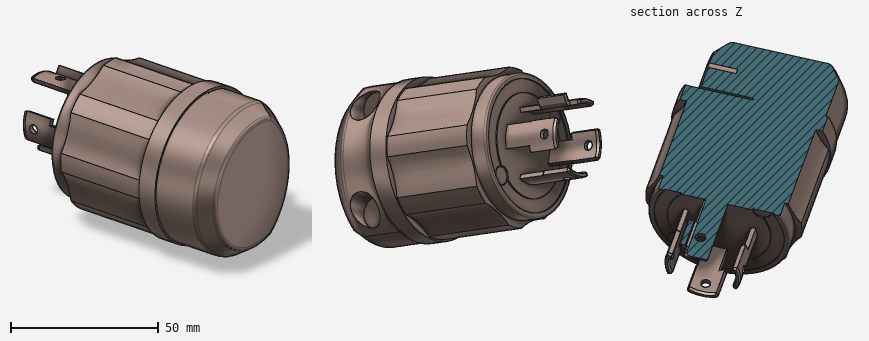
import cadquery as cq
import math


total_length = 94.08
collar_diameter = 56.52
ground_blade_length = 25.26
rear_x = total_length - ground_blade_length

ring_radius = 49.99 / 2
ring_edge_fillet = 0.55
ring_length = 5.95
groove_inner_radius = 18.25
groove_outer_radius = 23.06
groove_depth = 0.5

screw_hole_diameter = 6.6
screw_head_diameter = 6.35
screw_hole_depth = 1.0
screw_head_recess = 0.5
screw_circle_radius = 19.8
screw_angle = 140.0

grip_radius = 27.62
flute_count = 8
flute_pitch = 360.0 / flute_count
land_half_angle = 7.4
flute_floor_radius = 25.75
collar_start_x = 39.66
collar_end_x = 46.46

clamp_top_y = 22.5
clamp_crease_angle = 20.9
clamp_gap = 0.55
clamp_split_y = 1.35
rear_taper_length = 6.0
rear_taper_depth = 4.15
taper_start_fillet = 2.4
taper_end_fillet = 1.8
clamp_screw_hole_diameter = 11.3
clamp_screw_x = 56.9
clamp_screw_z = 18.1
clamp_screw_floor_y = 10.0

blade_outer_radius = 13.4
blade_thickness = 1.73
blade_length = 21.0
blade_half_angle = 24.1
blade_hole_diameter = 3.3
blade_hole_x = -16.36
tip_length = 1.0
tip_inset = 0.4

root_length = 9.8
root_notch_angle = 13.8
root_plain_angle = 23.2

ground_edge_angle = 23.2
ground_free_angle = 14.2
ground_hole_y = 1.84
flange_bend_angle = 25.0
flange_tilt = 60.0
flange_height = 2.9


def polar(radius, angle):
    """Point on a circle about the X axis; angle runs from +Y towards +Z."""
    turn = math.radians(angle)
    return (radius * math.cos(turn), radius * math.sin(turn))


def section_at(x):
    """Workplane across the plug axis: local axes are Y and Z."""
    return cq.Workplane("YZ", origin=(x, 0, 0))


def disc(radius, start_x, end_x):
    return section_at(start_x).circle(radius).extrude(end_x - start_x)


def arc_strip(x, inner_radius, outer_radius, start_angle, end_angle):
    """Closed outline of a curved strip about the X axis."""
    middle_angle = (start_angle + end_angle) / 2
    return (
        section_at(x)
        .moveTo(*polar(outer_radius, start_angle))
        .threePointArc(polar(outer_radius, middle_angle), polar(outer_radius, end_angle))
        .lineTo(*polar(inner_radius, end_angle))
        .threePointArc(polar(inner_radius, middle_angle), polar(inner_radius, start_angle))
        .close()
    )


def make_front_ring():
    ring = disc(ring_radius, 0, ring_length).faces("<X").edges().fillet(ring_edge_fillet)
    groove = disc(groove_outer_radius, 0, groove_depth).cut(disc(groove_inner_radius, 0, groove_depth))
    ring = ring.cut(groove)
    for angle in (screw_angle, screw_angle + 180):
        y, z = polar(screw_circle_radius, angle)
        hole = disc(screw_hole_diameter / 2, 0, screw_hole_depth).translate((0, y, z))
        head = disc(screw_head_diameter / 2, screw_head_recess, screw_hole_depth).translate((0, y, z))
        ring = ring.cut(hole).union(head)
    return ring


def make_grip():
    outline = section_at(ring_length).moveTo(*polar(grip_radius, -land_half_angle))
    for index in range(flute_count):
        land_angle = index * flute_pitch
        flute_end = land_angle + flute_pitch - land_half_angle
        outline = outline.threePointArc(
            polar(grip_radius, land_angle), polar(grip_radius, land_angle + land_half_angle)
        )
        outline = outline.threePointArc(
            polar(flute_floor_radius, land_angle + flute_pitch / 2), polar(grip_radius, flute_end)
        )
    return outline.close().extrude(collar_start_x - ring_length)


def make_rear_housing():
    """Round housing whose +Y side is the clamp, bounded by one flatter arc."""
    crease_y, crease_z = polar(grip_radius, 90 - clamp_crease_angle)
    housing = (
        section_at(collar_end_x)
        .moveTo(crease_y, -crease_z)
        .threePointArc((clamp_top_y, 0), (crease_y, crease_z))
        .threePointArc((-grip_radius, 0), (crease_y, -crease_z))
        .close()
        .extrude(rear_x - collar_end_x)
    )
    housing = housing.faces(">X").edges().chamfer(rear_taper_length, rear_taper_depth)
    taper_start_x = rear_x - rear_taper_length
    near_taper_start = cq.selectors.BoxSelector(
        (taper_start_x - taper_start_fillet, -collar_diameter, -collar_diameter),
        (taper_start_x + taper_start_fillet, collar_diameter, collar_diameter),
    )
    housing = housing.edges(near_taper_start).fillet(taper_start_fillet)
    housing = housing.faces(">X").edges().fillet(taper_end_fillet)
    return cut_clamp(housing)


def cut_clamp(housing):
    """Cut the gap behind the collar and the two screw recesses on the +Y side."""
    gap = cq.Workplane("XY").box(clamp_gap, collar_diameter, collar_diameter, centered=(False, False, True))
    housing = housing.cut(gap.translate((collar_end_x, clamp_split_y, 0)))
    for side in (-1, 1):
        hole = (
            cq.Workplane("XZ", origin=(clamp_screw_x, clamp_screw_floor_y, side * clamp_screw_z))
            .circle(clamp_screw_hole_diameter / 2)
            .extrude(-collar_diameter)
        )
        housing = housing.cut(hole)
    return housing


def make_strip_blade(length, start_angle, end_angle, body_end_x):
    """Curved blade from its bevelled tip at -length to body_end_x."""
    inner_radius = blade_outer_radius - blade_thickness
    body_start_x = tip_length - length
    outline = arc_strip(body_start_x, inner_radius, blade_outer_radius, start_angle, end_angle)
    inset_angle = math.degrees(tip_inset / blade_outer_radius)
    tip_outline = arc_strip(
        -length,
        inner_radius + tip_inset,
        blade_outer_radius - tip_inset,
        start_angle + inset_angle,
        end_angle - inset_angle,
    )
    tip = cq.Solid.makeLoft([tip_outline.val(), outline.val()], True)
    return outline.extrude(body_end_x - body_start_x).union(cq.Workplane(tip))


def blade_hole(y):
    return (
        cq.Workplane("XY", origin=(blade_hole_x, y, 0))
        .circle(blade_hole_diameter / 2)
        .extrude(collar_diameter / 2)
    )


def make_power_blade():
    """Power blade centred on +Z, with a deep root notch on its +Y edge."""
    blade = make_strip_blade(blade_length, 90 - blade_half_angle, 90 + blade_half_angle, -root_length)
    root = arc_strip(
        -root_length,
        blade_outer_radius - blade_thickness,
        blade_outer_radius,
        90 - root_notch_angle,
        90 + root_plain_angle,
    ).extrude(root_length)
    return blade.union(root).cut(blade_hole(0))


def make_ground_flange():
    """Flange bent outwards about a line on the outer face of the ground blade."""
    bend_angle = 90 - flange_bend_angle
    bend_y, bend_z = polar(blade_outer_radius, bend_angle)
    normal_y, normal_z = polar(blade_thickness, flange_tilt - 90)
    rise_y, rise_z = polar(flange_height, flange_tilt)
    bend_start = bend_angle - 180
    middle_y, middle_z = polar(blade_thickness, (bend_start + flange_tilt - 90) / 2)
    flange = (
        section_at(-blade_length)
        .moveTo(bend_y, bend_z)
        .lineTo(bend_y + rise_y, bend_z + rise_z)
        .lineTo(bend_y + rise_y + normal_y, bend_z + rise_z + normal_z)
        .lineTo(bend_y + normal_y, bend_z + normal_z)
        .threePointArc(
            (bend_y + middle_y, bend_z + middle_z),
            polar(blade_outer_radius - blade_thickness, bend_angle),
        )
        .close()
        .extrude(blade_length - root_length)
    )
    bridge = arc_strip(
        -blade_length,
        blade_outer_radius - blade_thickness,
        blade_outer_radius,
        bend_angle,
        90,
    ).extrude(blade_length - root_length)
    return flange.union(bridge)


def make_ground_blade():
    blade = make_strip_blade(
        ground_blade_length, 90 - ground_edge_angle, 90 + ground_free_angle, 0
    )
    return blade.union(make_ground_flange()).cut(blade_hole(ground_hole_y))


result = make_front_ring().union(make_grip())
result = result.union(disc(collar_diameter / 2, collar_start_x, collar_end_x))
result = result.union(make_rear_housing())
result = result.union(make_ground_blade())
for quarter_turn in (90, 180, 270):
    result = result.union(make_power_blade().rotate((0, 0, 0), (1, 0, 0), quarter_turn))